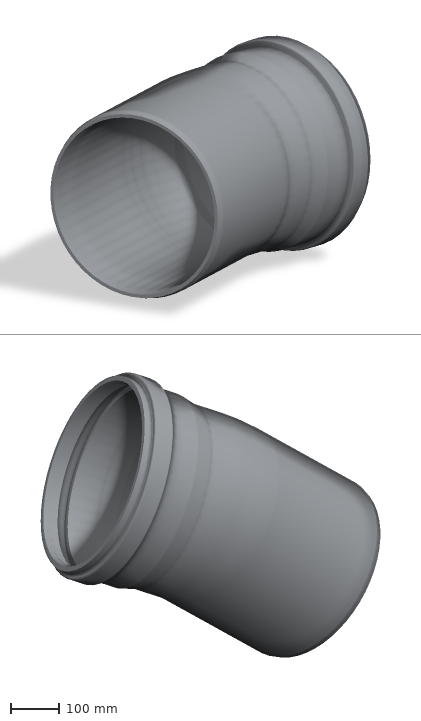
import cadquery as cq
import math

bend_angle = 15.0
bend_radius = 190.0

pipe_diameter = 402.0
pipe_bore_diameter = 378.35
spigot_length = 304.0
spigot_chamfer_length = 15.0
spigot_chamfer_depth = 4.5

cone_start = 68.0
cone_end = 107.0
socket_diameter = 421.1
socket_bore_diameter = 402.4
socket_end = 235.2
lip_diameter = 421.4
lip_bore_diameter = 400.35

bead_diameter = 447.1
bead_shoulder_diameter = 429.1
bead_start = 172.0
bead_end = 217.0
bead_fillet = 4.0
bead_shoulder_slope = 1.0
bead_foot_length = 2.0
groove_diameter = bead_shoulder_diameter
groove_start = 176.0
groove_end = 201.0

pipe_radius = pipe_diameter / 2
pipe_bore_radius = pipe_bore_diameter / 2
spigot_tip_radius = pipe_radius - spigot_chamfer_depth
socket_radius = socket_diameter / 2
socket_bore_radius = socket_bore_diameter / 2
lip_radius = lip_diameter / 2
lip_bore_radius = lip_bore_diameter / 2
bead_radius = bead_diameter / 2
bead_shoulder_radius = bead_shoulder_diameter / 2
groove_radius = groove_diameter / 2


def turn(profile):
    """Revolve a closed (radius, station) profile about the Y axis."""
    return profile.close().revolve(360, (0, 0), (0, 1))


def tilt(body):
    """Carry a body built at the start of the bend round to the end of the bend."""
    return body.rotate((bend_radius, 0, 0), (bend_radius, 0, 1), -bend_angle)


def bend(radius):
    """Round section turned about the bend axis; the part beyond that axis is left off."""
    section = cq.Workplane("XZ")
    if radius <= bend_radius:
        section = section.circle(radius)
    else:
        half_height = math.sqrt(radius**2 - bend_radius**2)
        section = (
            section.moveTo(bend_radius, half_height)
            .threePointArc((-radius, 0), (bend_radius, -half_height))
            .close()
        )
    return section.revolve(bend_angle, (bend_radius, 1), (bend_radius, 0))


def spigot_outside():
    profile = cq.Workplane("XY").polyline([
        (0, -spigot_length),
        (spigot_tip_radius, -spigot_length),
        (pipe_radius, spigot_chamfer_length - spigot_length),
        (pipe_radius, 0),
        (0, 0),
    ])
    return turn(profile)


def socket_outside():
    profile = cq.Workplane("XY").polyline([
        (0, 0),
        (pipe_radius, 0),
        (pipe_radius, cone_start),
        (socket_radius, cone_end),
        (socket_radius, bead_start),
        (lip_radius, bead_start),
        (lip_radius, socket_end),
        (0, socket_end),
    ])
    return turn(profile)


def bead():
    """Raised ring with rounded rims and a small sloping shoulder on the pipe side."""
    rim_radius = bead_radius - bead_fillet
    profile = (
        cq.Workplane("XY")
        .moveTo(0, bead_start - bead_foot_length)
        .lineTo(socket_radius, bead_start - bead_foot_length)
        .lineTo(bead_shoulder_radius, bead_start)
        .lineTo(rim_radius, bead_start + bead_shoulder_slope)
        .radiusArc((bead_radius, bead_start + bead_shoulder_slope + bead_fillet), -bead_fillet)
        .lineTo(bead_radius, bead_end - bead_fillet)
        .radiusArc((rim_radius, bead_end), -bead_fillet)
        .lineTo(bead_shoulder_radius, bead_end)
        .lineTo(lip_radius, bead_end + bead_foot_length)
        .lineTo(0, bead_end + bead_foot_length)
    )
    return turn(profile)


def spigot_bore():
    return cq.Workplane("XZ").circle(pipe_bore_radius).extrude(spigot_length)


def socket_bore():
    profile = cq.Workplane("XY").polyline([
        (0, 0),
        (pipe_bore_radius, 0),
        (pipe_bore_radius, cone_start),
        (socket_bore_radius, cone_end),
        (socket_bore_radius, groove_start),
        (groove_radius, groove_start),
        (groove_radius, groove_end),
        (lip_bore_radius, groove_end),
        (lip_bore_radius, socket_end),
        (0, socket_end),
    ])
    return turn(profile)


outside = spigot_outside().union(bend(pipe_radius)).union(tilt(socket_outside().union(bead())))
inside = spigot_bore().union(bend(pipe_bore_radius)).union(tilt(socket_bore()))
result = outside.cut(inside)